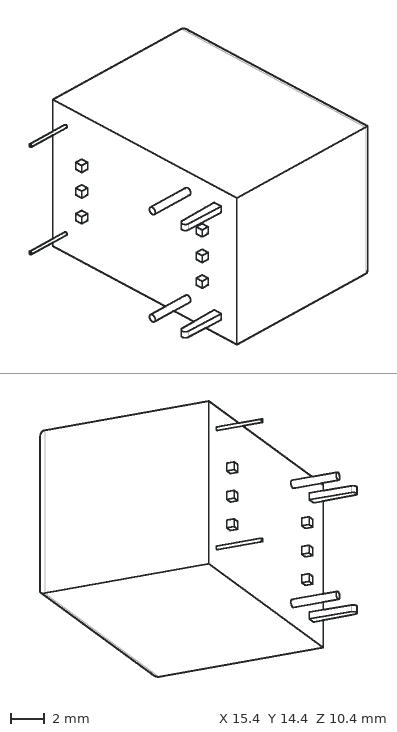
import cadquery as cq

case_width = 15.4
case_height = 10.4
overall_depth = 14.4
pin_length = 3.0
case_depth = overall_depth - pin_length
cover_radius = 0.5

pin_offset_z = 3.8
thin_pin_x = -6.6
thin_pin_diameter = 0.22
round_pin_x = 3.59
round_pin_diameter = 0.5

flat_pin_x = 6.1
flat_pin_root_width = 0.6
flat_pin_tip_width = 0.5
flat_pin_thickness = 0.43

foot_size = 0.5
foot_column_x = 5.04
foot_pitch_z = 1.82


def make_case():
    case = cq.Workplane("XY").box(case_width, case_depth, case_height, centered=(True, False, True))
    return case.faces(">Y").edges().fillet(cover_radius)


def make_round_pin(x, z, diameter):
    return cq.Workplane("XZ").center(x, z).circle(diameter / 2).extrude(pin_length)


def make_flat_pin(x, z):
    root_half = flat_pin_root_width / 2
    tip_half = flat_pin_tip_width / 2
    round_start_y = -pin_length + tip_half
    return (
        cq.Workplane("XY")
        .moveTo(-root_half, 0)
        .lineTo(-tip_half, round_start_y)
        .threePointArc((0, -pin_length), (tip_half, round_start_y))
        .lineTo(root_half, 0)
        .close()
        .extrude(flat_pin_thickness / 2, both=True)
        .translate((x, 0, z))
    )


def make_foot(x, z):
    return cq.Workplane("XZ").center(x, z).rect(foot_size, foot_size).extrude(foot_size)


result = make_case()

for z in (-pin_offset_z, pin_offset_z):
    result = result.union(make_round_pin(thin_pin_x, z, thin_pin_diameter))
    result = result.union(make_round_pin(round_pin_x, z, round_pin_diameter))
    result = result.union(make_flat_pin(flat_pin_x, z))

for x in (-foot_column_x, foot_column_x):
    for z in (-foot_pitch_z, 0, foot_pitch_z):
        result = result.union(make_foot(x, z))